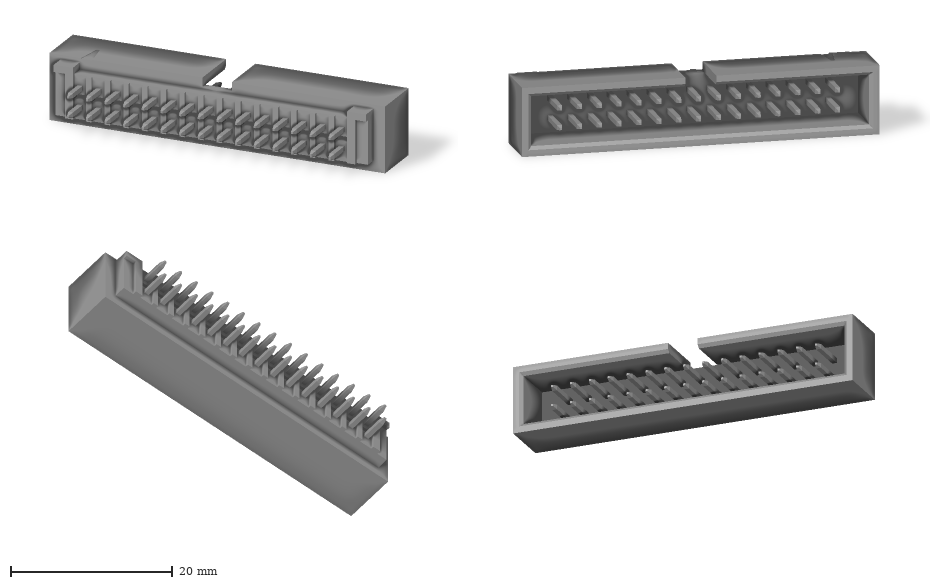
import cadquery as cq


LENGTH = 45.7
HEIGHT = 8.85
SHROUD_DEPTH = 7.15
WALL = 1.25
FLOOR = 0.82
MOUTH_CHAMFER = 0.4
KEY_WIDTH = 4.0

END_INSET = 1.6
BASE_TOP_INSET = 1.5
BASE_BOTTOM_INSET = 1.45
BASE_DEPTH = 1.8
FOOT_WIDTH = 2.6
FOOT_DEPTH = 2.2
FOOT_TOP_INSET = 0.55
RELIEF_WIDTH = 1.5
RELIEF_DEPTH = 0.55

RIB_WIDTH = 0.75
GROOVE_HEIGHT = 0.7
GROOVE_DEPTH = 0.82

COLUMNS = 15
PITCH = 22.85 / 9
PIN_WIDTH = 0.65
PIN_TIP_WIDTH = 0.27
PIN_TAPER = 0.82
PIN_SOLDER_REACH = 5.6
PIN_MATING_SETBACK = 0.4

ARROW_WIDTH = 1.55
ARROW_LENGTH = 3.6
ARROW_TIP_WIDTH = 0.45
ARROW_TIP_RISE = 0.15
ARROW_DEPTH = 0.1

TOP = HEIGHT / 2
BOTTOM = -HEIGHT / 2
BASE_TOP = TOP - BASE_TOP_INSET
BASE_BOTTOM = BOTTOM + BASE_BOTTOM_INSET
BASE_HALF_LENGTH = LENGTH / 2 - END_INSET
FOOT_INNER_X = BASE_HALF_LENGTH - FOOT_WIDTH
COLUMN_XS = [(i - (COLUMNS - 1) / 2) * PITCH for i in range(COLUMNS)]
ROW_ZS = [-PITCH / 2, PITCH / 2]


def block(x_min, x_max, y_min, y_max, z_min, z_max):
    """Box between two opposite corners."""
    size = (x_max - x_min, y_max - y_min, z_max - z_min)
    return cq.Workplane("XY").box(*size, centered=False).translate((x_min, y_min, z_min))


def facing_mating_side(y):
    """Workplane at the given Y whose normal is +Y."""
    return cq.Workplane("XZ", origin=(0, y, 0)).transformed(rotate=(180, 0, 0))


def make_shroud():
    """Open box with a flared mouth and a key slot through the top wall."""
    half = LENGTH / 2
    shroud = block(-half, half, 0, SHROUD_DEPTH, BOTTOM, TOP)
    cavity_x = half - WALL
    cavity_z = TOP - WALL
    cavity = block(-cavity_x, cavity_x, FLOOR, SHROUD_DEPTH, -cavity_z, cavity_z)
    shroud = shroud.cut(cavity)
    flare = (
        facing_mating_side(SHROUD_DEPTH - MOUTH_CHAMFER)
        .rect(2 * cavity_x, 2 * cavity_z)
        .workplane(offset=MOUTH_CHAMFER)
        .rect(2 * (cavity_x + MOUTH_CHAMFER), 2 * (cavity_z + MOUTH_CHAMFER))
        .loft(ruled=True)
    )
    key_slot = block(-KEY_WIDTH / 2, KEY_WIDTH / 2, 0, SHROUD_DEPTH, cavity_z, TOP)
    return shroud.cut(flare).cut(key_slot)


def make_base():
    """Long base with ribs between the columns; a groove between the two rows stops at each rib."""
    base = block(-FOOT_INNER_X, FOOT_INNER_X, -BASE_DEPTH, 0, BASE_BOTTOM, BASE_TOP)
    groove = block(
        -FOOT_INNER_X, FOOT_INNER_X,
        -BASE_DEPTH, GROOVE_DEPTH - BASE_DEPTH,
        -GROOVE_HEIGHT / 2, GROOVE_HEIGHT / 2,
    )
    base = base.cut(groove)
    for left, right in zip(COLUMN_XS, COLUMN_XS[1:]):
        middle = (left + right) / 2
        rib = block(
            middle - RIB_WIDTH / 2, middle + RIB_WIDTH / 2,
            -FOOT_DEPTH, 0,
            BASE_BOTTOM, BASE_TOP,
        )
        base = base.union(rib)
    return base


def make_left_foot():
    """Foot at the -X end, with its outer corner relieved below the top."""
    foot = block(-BASE_HALF_LENGTH, -FOOT_INNER_X, -FOOT_DEPTH, 0, BASE_BOTTOM, TOP - FOOT_TOP_INSET)
    relief = block(
        -BASE_HALF_LENGTH, RELIEF_WIDTH - BASE_HALF_LENGTH,
        -FOOT_DEPTH, RELIEF_DEPTH - FOOT_DEPTH,
        BASE_BOTTOM, BASE_TOP,
    )
    return foot.cut(relief)


def make_pin():
    """Square pin tapered at both ends, centred on X = Z = 0."""
    y_min = -PIN_SOLDER_REACH
    y_max = SHROUD_DEPTH - PIN_MATING_SETBACK
    shank = block(
        -PIN_WIDTH / 2, PIN_WIDTH / 2,
        y_min + PIN_TAPER, y_max - PIN_TAPER,
        -PIN_WIDTH / 2, PIN_WIDTH / 2,
    )
    solder_tip = taper(y_min, PIN_TIP_WIDTH, PIN_WIDTH)
    mating_tip = taper(y_max - PIN_TAPER, PIN_WIDTH, PIN_TIP_WIDTH)
    return shank.union(solder_tip).union(mating_tip)


def taper(y_start, width_start, width_end):
    """Square taper running from y_start toward +Y."""
    return (
        facing_mating_side(y_start)
        .rect(width_start, width_start)
        .workplane(offset=PIN_TAPER)
        .rect(width_end, width_end)
        .loft(ruled=True)
    )


def make_arrow():
    """Shallow round-tipped arrow in the top face, aligned with the first column."""
    shoulder_y = ARROW_LENGTH - ARROW_TIP_RISE
    return (
        cq.Workplane("XY", origin=(COLUMN_XS[0], 0, TOP - ARROW_DEPTH))
        .moveTo(-ARROW_WIDTH / 2, 0)
        .lineTo(-ARROW_TIP_WIDTH / 2, shoulder_y)
        .threePointArc((0, ARROW_LENGTH), (ARROW_TIP_WIDTH / 2, shoulder_y))
        .lineTo(ARROW_WIDTH / 2, 0)
        .close()
        .extrude(ARROW_DEPTH)
    )


left_foot = make_left_foot()
result = make_shroud().cut(make_arrow()).union(make_base())
result = result.union(left_foot).union(left_foot.mirror("YZ"))

pin = make_pin().val()
pin_places = [(x, 0, z) for x in COLUMN_XS for z in ROW_ZS]
pins = cq.Workplane("XY").pushPoints(pin_places).eachpoint(lambda place: pin.moved(place))
result = result.union(pins)